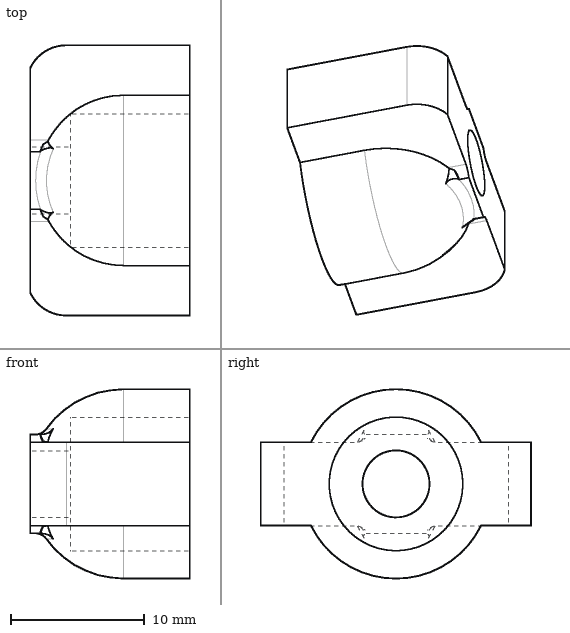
import cadquery as cq
import math

length = 11.97
width = 20.25
plate_height = 6.25
corner_radius = 3.0
corner_length = 2.71
dome_diameter = 14.2
dome_center_x = 6.99
hole_diameter = 5.0
hole_depth = 3.0
cavity_radius = 5.0
pad_height = 7.41
pad_half_width = 2.15
blend_radius = 1.0

trim_corner_x = 0.67
trim_tip = (1.68, 2.37, 4.11)
trim_foot_xy = (1.32, 2.92)

dome_radius = dome_diameter / 2
plate_top = plate_height / 2
pad_top = pad_height / 2
half_width = width / 2


def arc_drop(radius, run):
    """Distance an arc falls away from its tangent line after the given run."""
    return radius - math.sqrt(radius**2 - run**2)


def make_plate():
    """Flat body whose front corners are rounded by arcs tangent to the sides only."""
    front_y = half_width - arc_drop(corner_radius, corner_length)
    middle_x = corner_length / 2
    middle_y = half_width - arc_drop(corner_radius, corner_length - middle_x)
    return (
        cq.Workplane("XY", origin=(0, 0, -plate_top))
        .moveTo(length, -half_width)
        .lineTo(length, half_width)
        .lineTo(corner_length, half_width)
        .threePointArc((middle_x, middle_y), (0, front_y))
        .lineTo(0, -front_y)
        .threePointArc((middle_x, -middle_y), (corner_length, -half_width))
        .close()
        .extrude(plate_height)
    )


def make_round_nose():
    """Round bar along X with a spherical front end, cut flat at X = 0."""
    face_radius = math.sqrt(dome_radius**2 - dome_center_x**2)
    middle_angle = (math.pi / 2 + math.atan2(face_radius, -dome_center_x)) / 2
    middle_x = dome_center_x + dome_radius * math.cos(middle_angle)
    middle_r = dome_radius * math.sin(middle_angle)
    return (
        cq.Workplane("XY")
        .moveTo(0, 0)
        .lineTo(0, face_radius)
        .threePointArc((middle_x, middle_r), (dome_center_x, dome_radius))
        .lineTo(length, dome_radius)
        .lineTo(length, 0)
        .close()
        .revolve(360, (0, 0), (1, 0))
    )


def make_pad():
    """Raised pad above the plate, with concave sides tangent to the plate top."""
    rise = pad_top - plate_top
    side_run = math.sqrt(blend_radius**2 - (blend_radius - rise) ** 2)
    foot_y = pad_half_width + side_run
    middle_y = foot_y - side_run / 2
    middle_z = plate_top + arc_drop(blend_radius, side_run / 2)
    return (
        cq.Workplane("YZ")
        .moveTo(-foot_y, 0)
        .lineTo(-foot_y, plate_top)
        .threePointArc((-middle_y, middle_z), (-pad_half_width, pad_top))
        .lineTo(pad_half_width, pad_top)
        .threePointArc((middle_y, middle_z), (foot_y, plate_top))
        .lineTo(foot_y, 0)
        .close()
        .extrude(dome_center_x / 2)
    )


def make_dome_blend():
    """Concave ring between pad top and dome, trimmed by a sloping plane at each end."""
    center_z = pad_top + blend_radius
    center_distance = dome_radius + blend_radius
    center_r = math.sqrt(center_distance**2 - center_z**2)
    contact_r = center_r * dome_radius / center_distance
    contact_z = center_z * dome_radius / center_distance
    inner_r = contact_r - blend_radius
    down_r = -center_r / center_distance
    down_z = -center_z / center_distance - 1
    scale = blend_radius / math.hypot(down_r, down_z)
    ring = (
        cq.Workplane("XZ")
        .moveTo(center_r, plate_top)
        .lineTo(center_r, pad_top)
        .threePointArc((center_r + down_r * scale, center_z + down_z * scale), (contact_r, contact_z))
        .lineTo(inner_r, contact_z)
        .lineTo(inner_r, plate_top)
        .close()
        .revolve(360, (0, 0), (0, 1))
        .translate((dome_center_x, 0, 0))
    )
    front = cq.Workplane("XY").box(dome_center_x / 2, width, width, centered=(False, True, True))
    corner = cq.Vector(trim_corner_x, pad_half_width, pad_top)
    along_ring_end = cq.Vector(*trim_tip) - corner
    along_side = cq.Vector(*trim_foot_xy, plate_top) - corner
    trim_plane = cq.Plane(origin=corner, xDir=along_ring_end, normal=along_ring_end.cross(along_side))
    outside = cq.Workplane(trim_plane).rect(2 * width, 2 * width).extrude(width)
    return ring.intersect(front).cut(outside).cut(outside.mirror("XZ"))


pad = make_pad()
blend = make_dome_blend()
body = make_plate().union(make_round_nose())
for feature in (pad, blend):
    body = body.union(feature).union(feature.mirror("XY"))

hole = cq.Workplane("YZ").circle(hole_diameter / 2).extrude(length)
cavity = cq.Workplane("YZ", origin=(hole_depth, 0, 0)).circle(cavity_radius).extrude(length)
result = body.cut(hole).cut(cavity)